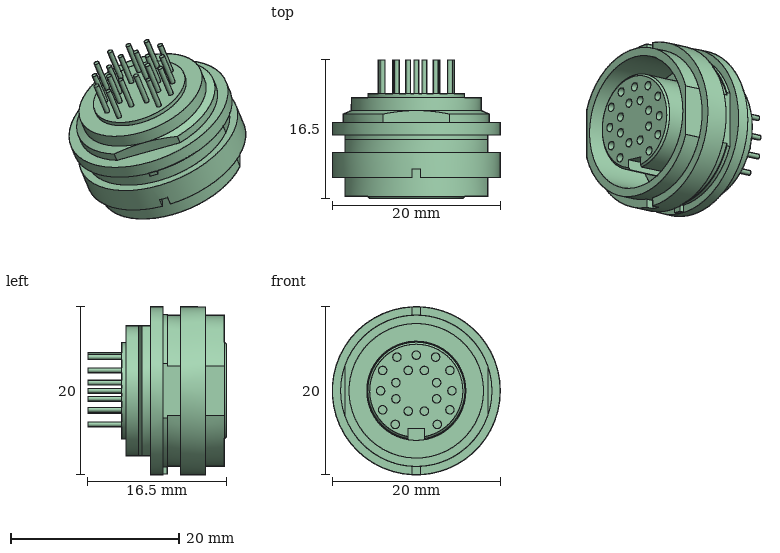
import cadquery as cq


SHELL_FRONT = 0.28
RING_FRONT = 2.5
RING_BACK = 5.5
LIP_FRONT = 7.05
FLANGE_FRONT = 7.55
FLANGE_BACK = 9.08
COLLAR_BACK = 10.05
CONE_BACK = 10.48
HUB_BACK = 12.0
BOSS_BACK = 12.5
PIN_TIP = 16.5

SHELL_RADIUS = 9.0
BORE_RADIUS = 8.0
FLOOR_THICKNESS = 0.6
BORE_FLOOR = FLANGE_BACK - FLOOR_THICKNESS
LIP_RADIUS = 9.1
FLANGE_RADIUS = 10.0
COLLAR_RADIUS = 8.7
HUB_RADIUS = 7.75
BOSS_RADIUS = 5.75
SIDE_FLAT_X = 8.5
COLLAR_FLAT_Z = HUB_RADIUS

TAB_WIDTH = 1.0
TAB_BOTTOM = 9.9

RING_RADIUS = FLANGE_RADIUS
RING_SLOT_WIDTH = 1.0
RING_SLOT_DEPTH = 1.0

INSERT_RADIUS = 5.78
INSERT_BEVEL = 0.25
INSERT_FOOT_RADIUS = 5.9
INSERT_FOOT_HEIGHT = 0.5
KEY_WIDTH = 2.0
KEY_TOP = 4.5

SOCKET_RADIUS = 0.5
SOCKET_DEPTH = 4.0
PIN_RADIUS = 0.3
INNER_NEAR = 0.95
INNER_FAR = 2.42
TOP_CONTACT = (0, 4.25)
SIDE_CONTACTS = [
    (2.3, 4.0),
    (4.0, 2.42),
    (4.25, 0),
    (4.0, -2.25),
    (2.5, -4.0),
    (INNER_NEAR, INNER_FAR),
    (INNER_FAR, INNER_NEAR),
    (INNER_FAR, -INNER_NEAR),
    (INNER_NEAR, -INNER_FAR),
]
CONTACTS = [TOP_CONTACT] + [(side * x, z) for x, z in SIDE_CONTACTS for side in (-1, 1)]


def cylinder(radius, y_start, y_end, points=((0, 0),)):
    """Cylinders along +Y, centred on the given (x, z) points."""
    plane = cq.Workplane("XZ", origin=(0, y_start, 0))
    return plane.pushPoints(list(points)).circle(radius).extrude(y_start - y_end)


def block(x_range, y_range, z_range):
    """Axis-aligned box between the given limits."""
    limits = (x_range, y_range, z_range)
    size = [high - low for low, high in limits]
    low_corner = tuple(low for low, high in limits)
    return cq.Workplane("XY").box(*size, centered=False).translate(low_corner)


def make_shell():
    front = cylinder(SHELL_RADIUS, SHELL_FRONT, LIP_FRONT)
    front = front.union(cylinder(LIP_RADIUS, LIP_FRONT, FLANGE_FRONT))
    tab = block((-TAB_WIDTH / 2, TAB_WIDTH / 2), (LIP_FRONT, FLANGE_FRONT), (-TAB_BOTTOM, -BORE_RADIUS))
    front = front.union(tab)
    between_flats = block(
        (-SIDE_FLAT_X, SIDE_FLAT_X), (SHELL_FRONT, FLANGE_FRONT), (-FLANGE_RADIUS, FLANGE_RADIUS)
    )
    front = front.intersect(between_flats)

    collar_profile = [
        (0, FLANGE_BACK),
        (COLLAR_RADIUS, FLANGE_BACK),
        (COLLAR_RADIUS, COLLAR_BACK),
        (HUB_RADIUS, CONE_BACK),
        (0, CONE_BACK),
    ]
    collar = cq.Workplane("XY").polyline(collar_profile).close().revolve(360, (0, 0, 0), (0, 1, 0))
    collar = collar.intersect(
        block(
            (-COLLAR_RADIUS, COLLAR_RADIUS), (FLANGE_BACK, CONE_BACK), (-COLLAR_FLAT_Z, COLLAR_FLAT_Z)
        )
    )

    shell = front.union(cylinder(FLANGE_RADIUS, FLANGE_FRONT, FLANGE_BACK))
    shell = shell.union(collar)
    shell = shell.union(cylinder(HUB_RADIUS, CONE_BACK, HUB_BACK))
    shell = shell.union(cylinder(BOSS_RADIUS, HUB_BACK, BOSS_BACK))
    return shell.cut(cylinder(BORE_RADIUS, SHELL_FRONT, BORE_FLOOR))


def make_ring():
    """Ring nut that touches the round part of the shell and leaves a gap at its side flats."""
    ring = cylinder(RING_RADIUS, RING_FRONT, RING_BACK)
    ring = ring.cut(cylinder(SHELL_RADIUS, RING_FRONT, RING_BACK))
    slots = block(
        (-RING_SLOT_WIDTH / 2, RING_SLOT_WIDTH / 2),
        (RING_FRONT, RING_FRONT + RING_SLOT_DEPTH),
        (-RING_RADIUS, RING_RADIUS),
    )
    return ring.cut(slots)


def make_insert():
    foot_front = BORE_FLOOR - INSERT_FOOT_HEIGHT
    insert = cylinder(INSERT_RADIUS, 0, BORE_FLOOR)
    insert = insert.faces("<Y").chamfer(INSERT_BEVEL)
    insert = insert.union(cylinder(INSERT_FOOT_RADIUS, foot_front, BORE_FLOOR))
    keyway = block((-KEY_WIDTH / 2, KEY_WIDTH / 2), (0, foot_front), (-INSERT_RADIUS, -KEY_TOP))
    sockets = cylinder(SOCKET_RADIUS, 0, SOCKET_DEPTH, CONTACTS)
    return insert.cut(keyway).cut(sockets)


pins = cylinder(PIN_RADIUS, BOSS_BACK, PIN_TIP, CONTACTS)
result = make_shell().union(make_ring()).union(make_insert()).union(pins)